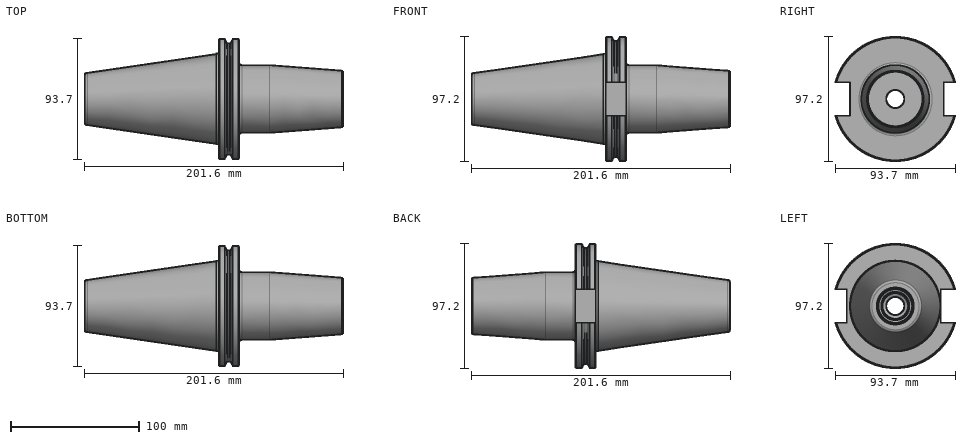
import cadquery as cq
import math

length = 201.6

gauge_x = 102.6
gauge_radius = 70.2 / 2
taper_per_length = 7 / 48
tail_round = 2.0

collar_radius = 35.5
flange_start = 104.6
flange_end = 120.5
flange_radius = 97.2 / 2
rim_chamfer = 0.8

groove_center = 112.5
groove_depth = 3.2
groove_floor_width = 2.8
groove_floor_fillet = 0.8
groove_wall_angle = 30
groove_mouth_width = groove_floor_width + 2 * groove_depth * math.tan(math.radians(groove_wall_angle))

slot_width = 25.8
slot_floor_plus_y = 38.0
slot_floor_minus_y = collar_radius

nose_radius = 53.0 / 2
nose_root_fillet = 2.0
nose_taper_start = 144.0
nose_end_radius = 22.2
nose_chamfer = 1.0

mouth_radius = 29.0 / 2
entry_radius = 26.6 / 2
entry_depth = 3.5
relief_radius = 26.2 / 2
relief_depth = 5.2
entry_cone_end = 5.8
thread_radius = 22.2 / 2
pilot_radius = 20.0 / 2
thread_chamfer = thread_radius - pilot_radius
thread_depth = 36.3
drill_point_angle = 120
through_radius = 14.0 / 2


def turned_body():
    tail_radius = gauge_radius - gauge_x * taper_per_length
    rounded_tail_radius = tail_radius + tail_round * taper_per_length
    groove_floor_radius = flange_radius - groove_depth
    profile = (
        cq.Workplane("XY")
        .lineTo(0, rounded_tail_radius - tail_round)
        .radiusArc((tail_round, rounded_tail_radius), tail_round)
        .lineTo(gauge_x, gauge_radius)
        .lineTo(gauge_x, collar_radius)
        .lineTo(flange_start, collar_radius)
        .lineTo(flange_start, flange_radius - rim_chamfer)
        .lineTo(flange_start + rim_chamfer, flange_radius)
        .lineTo(groove_center - groove_mouth_width / 2, flange_radius)
        .lineTo(groove_center - groove_floor_width / 2, groove_floor_radius)
        .lineTo(groove_center + groove_floor_width / 2, groove_floor_radius)
        .lineTo(groove_center + groove_mouth_width / 2, flange_radius)
        .lineTo(flange_end - rim_chamfer, flange_radius)
        .lineTo(flange_end, flange_radius - rim_chamfer)
        .lineTo(flange_end, nose_radius + nose_root_fillet)
        .radiusArc((flange_end + nose_root_fillet, nose_radius), -nose_root_fillet)
        .lineTo(nose_taper_start, nose_radius)
        .lineTo(length - nose_chamfer, nose_end_radius)
        .lineTo(length, nose_end_radius - nose_chamfer)
        .lineTo(length, 0)
        .close()
    )
    body = profile.revolve(360, (0, 0, 0), (1, 0, 0))
    floor_edges = body.edges("%CIRCLE").filter(
        lambda edge: math.isclose(edge.radius(), groove_floor_radius, abs_tol=0.0002)
    )
    return floor_edges.fillet(groove_floor_fillet)


def bore():
    mouth_depth = mouth_radius - entry_radius
    half_point_angle = math.radians(drill_point_angle / 2)
    drill_cone_length = (pilot_radius - through_radius) / math.tan(half_point_angle)
    profile = cq.Workplane("XY").polyline([
        (0, 0),
        (0, mouth_radius),
        (mouth_depth, entry_radius),
        (entry_depth, entry_radius),
        (relief_depth, relief_radius),
        (entry_cone_end, thread_radius),
        (entry_cone_end + thread_chamfer, pilot_radius),
        (thread_depth, pilot_radius),
        (thread_depth + drill_cone_length, through_radius),
        (length, through_radius),
        (length, 0),
    ]).close()
    return profile.revolve(360, (0, 0, 0), (1, 0, 0))


def drive_slot(side, floor):
    slot_depth = flange_radius - floor
    return cq.Workplane("XY").box(
        flange_end - flange_start, slot_depth, slot_width
    ).translate(((flange_start + flange_end) / 2, side * (floor + slot_depth / 2), 0))


result = (
    turned_body()
    .cut(bore())
    .cut(drive_slot(1, slot_floor_plus_y))
    .cut(drive_slot(-1, slot_floor_minus_y))
)